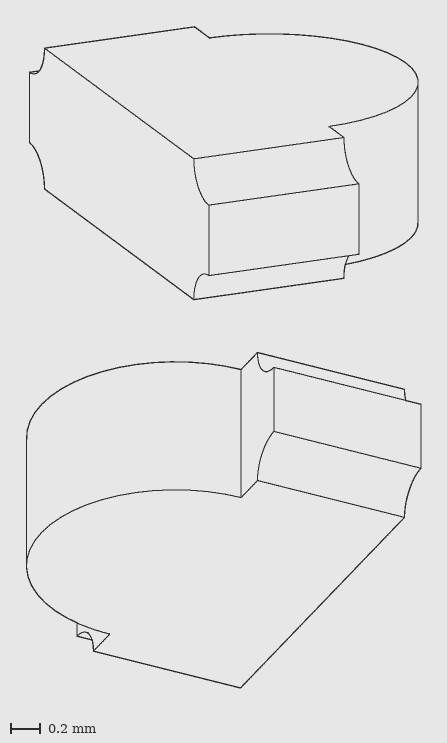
import cadquery as cq
import math

body_length = 3.0
body_depth = 1.1
height = 1.0
lens_radius = 1.0
notch_radius = 0.25

pad_length = 0.5
pad_gap = 0.25
trace_width = 0.2
trace_top = 0.41
die_pad_radius = 0.375
stripe_start = 0.59
stripe_width = 0.25

half_length = body_length / 2
half_height = height / 2
contact_face_y = -body_depth
pad_inner_x = half_length - pad_length
pad_inner_z = pad_gap / 2
pad_height = half_height - pad_inner_z


def make_body():
    """Rectangular block with a half-round lens at the back and quarter-round end notches."""
    block_center = (0, -body_depth / 2, 0)
    block = cq.Workplane("XY", origin=block_center).box(body_length, body_depth, height)
    lens = (
        cq.Workplane("XY", origin=(0, 0, -half_height))
        .moveTo(-lens_radius, 0)
        .threePointArc((0, lens_radius), (lens_radius, 0))
        .close()
        .extrude(height)
    )
    return block.cut(end_notches()).union(lens)


def end_notches():
    """Round bars along Y that groove the four long edges at the two ends."""
    return (
        cq.Workplane("XZ")
        .rect(body_length, height, forConstruction=True)
        .vertices()
        .circle(notch_radius)
        .extrude(body_depth)
    )


def contact_plane():
    """Plane on the contact face, with X and Z as its local axes."""
    return cq.Workplane("XZ", origin=(0, contact_face_y, 0))


def filled_area(outline):
    """Flat face bounded by a closed outline."""
    return cq.Face.makeFromWires(outline.val())


def rectangular_area(center_x, center_z, length, area_height):
    """Flat rectangle on the contact face."""
    return filled_area(contact_plane().center(center_x, center_z).rect(length, area_height))


def corner_pad(x_side, z_side):
    """Solder pad in one corner of the contact face, rounded off by the end notch."""
    center_x = x_side * (pad_inner_x + pad_length / 2)
    center_z = z_side * (pad_inner_z + pad_height / 2)
    full_pad = rectangular_area(center_x, center_z, pad_length, pad_height)
    return full_pad.cut(end_notches().val())


def pad_with_die_trace():
    """Upper left pad with a bent trace down to the half-round die pad on the lower edge."""
    half_width = trace_width / 2
    trace_bottom = trace_top - trace_width
    neck_z = math.sqrt(die_pad_radius**2 - half_width**2) - half_height
    side_angle = math.radians(45)
    side_x = die_pad_radius * math.cos(side_angle)
    side_z = die_pad_radius * math.sin(side_angle) - half_height
    outline = (
        contact_plane()
        .moveTo(-half_length, half_height)
        .lineTo(-pad_inner_x, half_height)
        .lineTo(-pad_inner_x, trace_top)
        .lineTo(half_width, trace_top)
        .lineTo(half_width, neck_z)
        .threePointArc((side_x, side_z), (die_pad_radius, -half_height))
        .lineTo(-die_pad_radius, -half_height)
        .threePointArc((-side_x, side_z), (-half_width, neck_z))
        .lineTo(-half_width, trace_bottom)
        .lineTo(-pad_inner_x, trace_bottom)
        .lineTo(-pad_inner_x, pad_inner_z)
        .lineTo(-half_length, pad_inner_z)
        .close()
    )
    return filled_area(outline).cut(end_notches().val())


def stripe():
    """Full-height polarity stripe."""
    return rectangular_area(stripe_start + stripe_width / 2, 0, stripe_width, height)


def mark_metal(solid):
    """Divide the flat contact face along the metal outlines without changing the solid's shape."""
    metal_areas = [
        pad_with_die_trace(),
        corner_pad(-1, -1),
        corner_pad(1, 1),
        corner_pad(1, -1),
        stripe(),
    ]
    return cq.Workplane(solid.val().split(*metal_areas)).solids()


result = mark_metal(make_body())